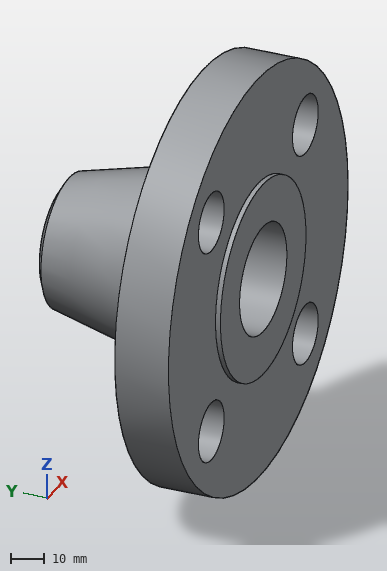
import cadquery as cq

flange_diameter = 133.4
flange_thickness = 17.5
raised_face_diameter = 63.5
raised_face_height = 1.6
total_length = 65.1
bore_diameter = 35.1

hub_base_diameter = 63.5
hub_end_diameter = 42.3
bevel_length = 2.1
bevel_tip_diameter = bore_diameter

bolt_hole_diameter = 19.1
bolt_circle_diameter = 98.7
bolt_count = 4
first_bolt_angle = 45.0

flange_front = raised_face_height
flange_back = flange_front + flange_thickness
bevel_start = total_length - bevel_length


def make_body():
    """Revolve the outer half profile (radius, axial position) about Y."""
    profile = [
        (0, 0),
        (raised_face_diameter / 2, 0),
        (raised_face_diameter / 2, flange_front),
        (flange_diameter / 2, flange_front),
        (flange_diameter / 2, flange_back),
        (hub_base_diameter / 2, flange_back),
        (hub_end_diameter / 2, bevel_start),
        (bevel_tip_diameter / 2, total_length),
        (0, total_length),
    ]
    return cq.Workplane("XY").polyline(profile).close().revolve(360, (0, 0, 0), (0, 1, 0))


def make_bore():
    """Straight bore through the whole length."""
    return cq.Workplane("XZ").circle(bore_diameter / 2).extrude(-total_length)


def make_bolt_holes():
    """Bolt holes evenly spaced on the bolt circle, straddling the X and Z axes."""
    return (
        cq.Workplane("XZ")
        .polarArray(bolt_circle_diameter / 2, first_bolt_angle, 360, bolt_count)
        .circle(bolt_hole_diameter / 2)
        .extrude(-flange_back)
    )


result = make_body().cut(make_bore()).cut(make_bolt_holes())